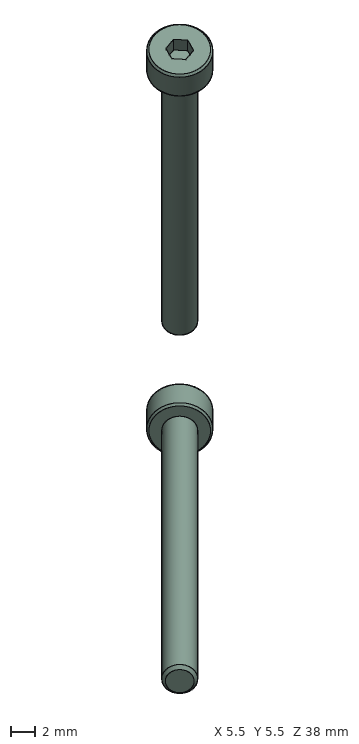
import cadquery as cq
import math

total_length = 38.0
head_diameter = 5.5
head_height = 3.0
shank_diameter = 3.0

head_top_chamfer = 0.2
head_bottom_chamfer = 0.2
tip_chamfer = 0.3

socket_across_flats = 2.0
socket_depth = 1.5

shank_length = total_length - head_height


def make_head():
    head = cq.Workplane("XY").workplane(offset=shank_length).circle(head_diameter / 2).extrude(head_height)
    head = head.faces(">Z").chamfer(head_top_chamfer)
    return head.faces("<Z").chamfer(head_bottom_chamfer)


def make_shank():
    shank = cq.Workplane("XY").circle(shank_diameter / 2).extrude(shank_length)
    return shank.faces("<Z").chamfer(tip_chamfer)


def make_socket():
    across_corners = socket_across_flats / math.cos(math.pi / 6)
    socket = cq.Workplane("XY").polygon(6, across_corners).extrude(socket_depth)
    socket = socket.rotate((0, 0, 0), (0, 0, 1), 30)
    return socket.translate((0, 0, total_length - socket_depth))


result = make_head().union(make_shank()).cut(make_socket())